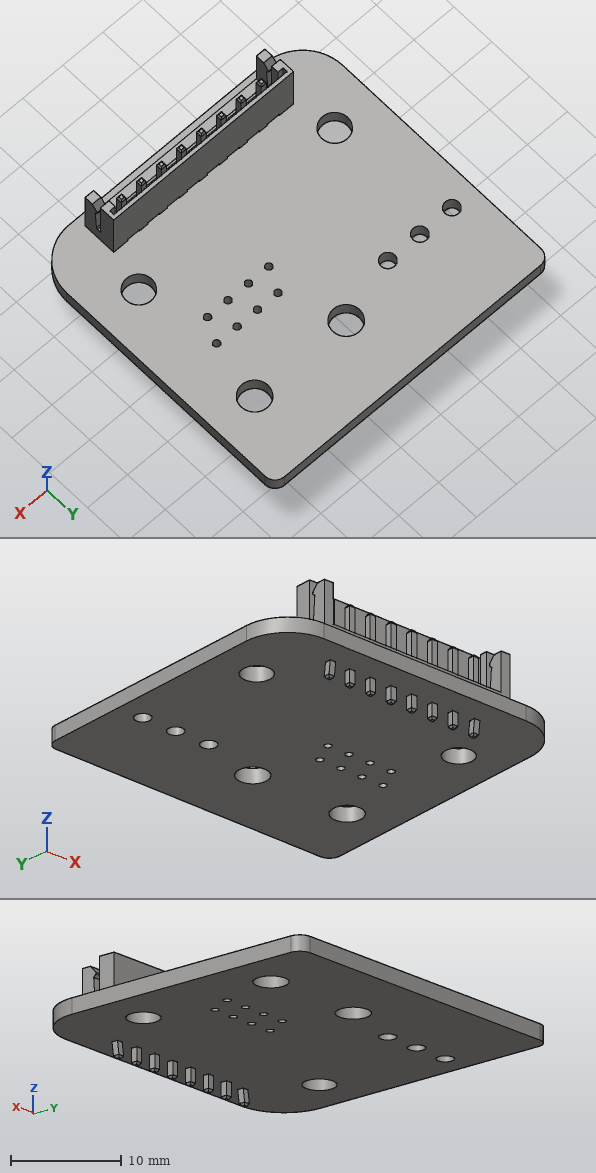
import cadquery as cq


BOARD_LENGTH = 34.5
BOARD_WIDTH = 32.5
BOARD_THICKNESS = 1.6
FRONT_CORNER_RADIUS = 5.0
BACK_CORNER_RADIUS = 1.25

JACK_X = 6.5
POST_SPACING = 11.45
POST_HOLE_Y = 8.28
POST_HOLE_DIAMETER = 3.3
LEAD_HOLE_DIAMETER = 0.75
LEAD_PITCH = 2.55
LEADS_PER_ROW = 4
BACK_LEAD_ROW_Y = 1.93
FRONT_LEAD_ROW_Y = BACK_LEAD_ROW_Y - LEAD_PITCH

MOUNT_HOLE_DIAMETER = 3.2
MOUNT_HOLE_X = 12.25
MOUNT_HOLE_Y = -7.0

WIRE_HOLE_DIAMETER = 1.7
WIRE_HOLE_PITCH = 4.0
WIRE_HOLE_COUNT = 3
WIRE_ROW_X = -10.28
WIRE_ROW_Y = 6.35

HOUSING_LENGTH = 22.5
HOUSING_DEPTH = 3.8
HOUSING_HEIGHT = 6.0
HOUSING_TO_BOARD_FRONT = 1.07
HOUSING_BACK_Y = -BOARD_WIDTH / 2 + HOUSING_TO_BOARD_FRONT + HOUSING_DEPTH

END_WALL = 1.07
BACK_WALL = 0.4
THIN_END_WALL = 0.4
CORNER_POCKET_DEPTH = 0.93
FLOOR_HEIGHT = 1.45
LEDGE_HEIGHT = 1.05
FLOOR_FRONT_DEPTH = 2.38
LEDGE_BACK_DEPTH = 2.8

SLOT_BACK_DEPTH = 1.75
SLOT_BOTTOM_FRONT_DEPTH = 2.15
SLOT_CORNER_CHAMFER = 0.15
HOOK_TIP_DEPTH = 2.17
HOOK_TIP_TOP = 4.55
HOOK_TIP_BOTTOM = 4.38
HOOK_UNDERCUT = 0.28
POST_TOP = 5.28
POST_TOP_BACK_DEPTH = 2.83

RELIEF_WIDTH = 1.5
RELIEF_HEIGHT = 0.2

PIN_COUNT = 8
PIN_ROW_SPAN = 17.5
PIN_PITCH = PIN_ROW_SPAN / (PIN_COUNT - 1)
PIN_SIZE = 0.65
PIN_DEPTH = 1.62
PIN_TOP = 5.1
PIN_BOTTOM = -3.2
PIN_TAPER_LENGTH = 0.25
PIN_TIP_SIZE = 0.35
PIN_KINK = 0.17
PIN_Y = HOUSING_BACK_Y - PIN_DEPTH


def row(count, pitch, center_x, y):
    """Points of an evenly spaced row along X."""
    return [(center_x + (i - (count - 1) / 2) * pitch, y) for i in range(count)]


def drill(plate, points, diameter):
    """Through holes in the board."""
    bits = (
        cq.Workplane("XY", origin=(0, 0, -BOARD_THICKNESS))
        .pushPoints(points)
        .circle(diameter / 2)
        .extrude(BOARD_THICKNESS)
    )
    return plate.cut(bits)


def make_plate():
    """Board with rounded corners and its open holes."""
    plate = (
        cq.Workplane("XY", origin=(0, 0, -BOARD_THICKNESS))
        .rect(BOARD_LENGTH, BOARD_WIDTH)
        .extrude(BOARD_THICKNESS)
        .edges("|Z and <Y").fillet(FRONT_CORNER_RADIUS)
        .edges("|Z and >Y").fillet(BACK_CORNER_RADIUS)
    )
    back_leads = row(LEADS_PER_ROW, LEAD_PITCH, JACK_X + LEAD_PITCH / 4, BACK_LEAD_ROW_Y)
    front_leads = row(LEADS_PER_ROW, LEAD_PITCH, JACK_X - LEAD_PITCH / 4, FRONT_LEAD_ROW_Y)
    mounts = [(-MOUNT_HOLE_X, MOUNT_HOLE_Y), (MOUNT_HOLE_X, MOUNT_HOLE_Y)]
    plate = drill(plate, row(2, POST_SPACING, JACK_X, POST_HOLE_Y), POST_HOLE_DIAMETER)
    plate = drill(plate, back_leads + front_leads, LEAD_HOLE_DIAMETER)
    plate = drill(plate, mounts, MOUNT_HOLE_DIAMETER)
    wires = row(WIRE_HOLE_COUNT, WIRE_HOLE_PITCH, WIRE_ROW_X, WIRE_ROW_Y)
    return drill(plate, wires, WIRE_HOLE_DIAMETER)


def side_profile(points, length):
    """Extrude a (depth, height) outline symmetrically along X."""
    outline = [(HOUSING_BACK_Y - depth, height) for depth, height in points]
    return cq.Workplane("YZ").polyline(outline).close().extrude(length / 2, both=True)


def make_housing():
    """Open-fronted connector shroud."""
    body = side_profile(
        [(0, 0), (HOUSING_DEPTH, 0), (HOUSING_DEPTH, HOUSING_HEIGHT), (0, HOUSING_HEIGHT)],
        HOUSING_LENGTH,
    )
    cavity = side_profile(
        [
            (BACK_WALL, HOUSING_HEIGHT),
            (BACK_WALL, FLOOR_HEIGHT),
            (FLOOR_FRONT_DEPTH, FLOOR_HEIGHT),
            (LEDGE_BACK_DEPTH, LEDGE_HEIGHT),
            (HOUSING_DEPTH, LEDGE_HEIGHT),
            (HOUSING_DEPTH, HOUSING_HEIGHT),
        ],
        HOUSING_LENGTH - 2 * END_WALL,
    )
    corner_pockets = side_profile(
        [
            (BACK_WALL, HOUSING_HEIGHT),
            (BACK_WALL, FLOOR_HEIGHT),
            (CORNER_POCKET_DEPTH, FLOOR_HEIGHT),
            (CORNER_POCKET_DEPTH, HOUSING_HEIGHT),
        ],
        HOUSING_LENGTH - 2 * THIN_END_WALL,
    )
    latch_slots = side_profile(
        [
            (SLOT_BACK_DEPTH, HOUSING_HEIGHT),
            (SLOT_BACK_DEPTH, FLOOR_HEIGHT),
            (SLOT_BOTTOM_FRONT_DEPTH, FLOOR_HEIGHT),
            (SLOT_BOTTOM_FRONT_DEPTH + SLOT_CORNER_CHAMFER, FLOOR_HEIGHT + SLOT_CORNER_CHAMFER),
            (HOOK_TIP_DEPTH + HOOK_UNDERCUT, HOOK_TIP_BOTTOM - HOOK_UNDERCUT),
            (HOOK_TIP_DEPTH, HOOK_TIP_BOTTOM),
            (HOOK_TIP_DEPTH, HOOK_TIP_TOP),
            (POST_TOP_BACK_DEPTH, POST_TOP),
            (HOUSING_DEPTH, POST_TOP),
            (HOUSING_DEPTH, HOUSING_HEIGHT),
        ],
        HOUSING_LENGTH,
    )
    reliefs = (
        cq.Workplane("XY")
        .pushPoints(row(PIN_COUNT, PIN_PITCH, 0, HOUSING_BACK_Y - HOUSING_DEPTH / 2))
        .rect(RELIEF_WIDTH, HOUSING_DEPTH)
        .extrude(RELIEF_HEIGHT)
    )
    return body.cut(cavity).cut(corner_pockets).cut(latch_slots).cut(reliefs)


def pin_tip(x, z, direction):
    """Tapered end of a pin; direction is +1 for the upper end and -1 for the lower end."""
    return (
        cq.Workplane("XY", origin=(x, PIN_Y, z))
        .rect(PIN_SIZE, PIN_SIZE)
        .workplane(offset=direction * PIN_TAPER_LENGTH)
        .rect(PIN_TIP_SIZE, PIN_TIP_SIZE)
        .loft(combine=True)
    )


def make_pin(x, kink):
    """Square pin whose tail is pushed forward by kink where it leaves the board."""
    shank_top = PIN_TOP - PIN_TAPER_LENGTH
    shank_bottom = PIN_BOTTOM + PIN_TAPER_LENGTH
    half = PIN_SIZE / 2
    center_line = [(0, shank_top), (0, 0), (-kink, -BOARD_THICKNESS), (0, shank_bottom)]
    back_edge = [(PIN_Y + shift + half, z) for shift, z in center_line]
    front_edge = [(PIN_Y + shift - half, z) for shift, z in reversed(center_line)]
    shank = (
        cq.Workplane("YZ", origin=(x, 0, 0))
        .polyline(back_edge + front_edge)
        .close()
        .extrude(half, both=True)
    )
    return shank.union(pin_tip(x, shank_top, 1)).union(pin_tip(x, shank_bottom, -1))


def make_connector():
    """Housing and its fixed pins as one body; the two end pins have kinked tails."""
    body = make_housing()
    for index, (x, _) in enumerate(row(PIN_COUNT, PIN_PITCH, 0, PIN_Y)):
        kink = PIN_KINK if index in (0, PIN_COUNT - 1) else 0
        body = body.union(make_pin(x, kink))
    return body


connector = make_connector()
board = make_plate().cut(connector)

result = cq.Compound.makeCompound([board.solids().val(), connector.solids().val()])